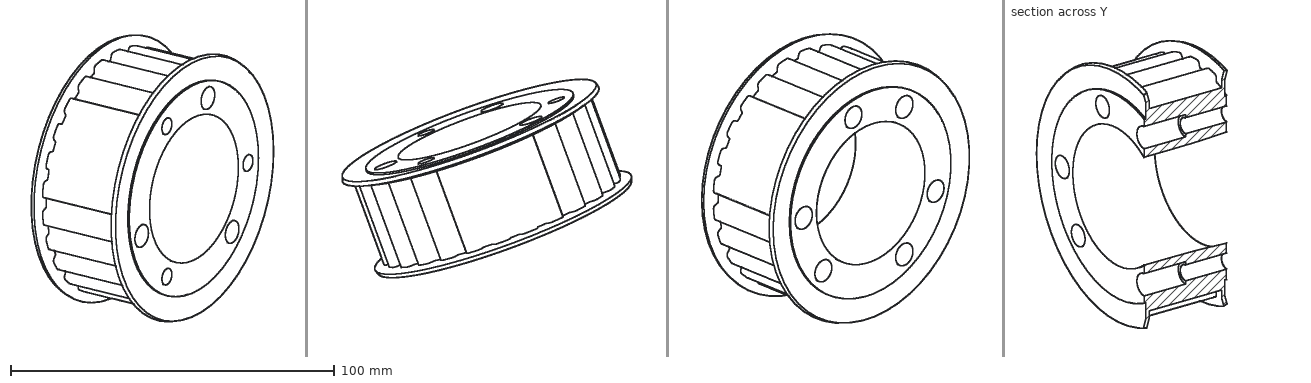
import cadquery as cq
import math

WIDTH = 32.1
FLANGE_RADIUS = 42.3

FLANGE_THICKNESS = 1.4
FLAT_FACE_RADIUS = 39.25
LIP_ANGLE = math.radians(18)

HUB_RADIUS = 34.2
HUB_STEP = 0.6
BORE_RADIUS = 23.1
BORE_STRAIGHT_END_X = 11.5
BORE_END_RADIUS = 23.5

TOOTH_COUNT = 26
TIP_RADIUS = 39.1
GROOVE_DEPTH = 2.1
GROOVE_FLOOR_WIDTH = 3.05
FLANK_ANGLE = math.radians(20)
TIP_ROUNDING = 1.2
ROOT_ROUNDING = 0.5

HOLES_PER_SET = 3
BOLT_CIRCLE_RADIUS = 28.6
PLAIN_HOLE_DIAMETER = 7.2
PLAIN_START_ANGLE = 75
STEPPED_HOLE_DIAMETER = 5.25
STEPPED_START_ANGLE = 0
COUNTERBORE_DIAMETER = 7.4
COUNTERBORE_FLOOR_X = WIDTH / 2

LIP_TIP_X = FLANGE_THICKNESS * math.cos(LIP_ANGLE)
LIP_FRONT_RADIUS = FLANGE_RADIUS - FLANGE_THICKNESS * math.sin(LIP_ANGLE)
OUTER_FACE_X = (LIP_FRONT_RADIUS - FLAT_FACE_RADIUS) * math.tan(LIP_ANGLE)
INNER_FACE_X = OUTER_FACE_X + FLANGE_THICKNESS
INNER_BEND_RADIUS = FLAT_FACE_RADIUS + FLANGE_THICKNESS * math.tan(LIP_ANGLE / 2)
HUB_END_X = OUTER_FACE_X - HUB_STEP


def revolve_about_x(points):
    """Revolve a closed (x, radius) outline around the X axis."""
    return cq.Workplane("XY").polyline(points).close().revolve(360, (0, 0, 0), (1, 0, 0))


def make_flange():
    """The dished plate at the -X end."""
    return revolve_about_x([
        (OUTER_FACE_X, 0),
        (OUTER_FACE_X, FLAT_FACE_RADIUS),
        (0, LIP_FRONT_RADIUS),
        (LIP_TIP_X, FLANGE_RADIUS),
        (INNER_FACE_X, INNER_BEND_RADIUS),
        (INNER_FACE_X, 0),
    ])


def round_edges_at(rim, radius, rounding):
    """Round the lengthwise edges that lie at the given distance from the X axis."""
    tolerance = GROOVE_DEPTH / 4
    edges = []
    for edge in rim.edges("|X").vals():
        center = edge.Center()
        if abs(math.hypot(center.y, center.z) - radius) < tolerance:
            edges.append(edge)
    return rim.newObject(edges).fillet(rounding)


def make_rim():
    """Cylinder between the flanges with trapezoid grooves, rounded at root and tip."""
    length = WIDTH - 2 * INNER_FACE_X
    plane = cq.Workplane("YZ", origin=(INNER_FACE_X, 0, 0))

    floor_radius = TIP_RADIUS - GROOVE_DEPTH
    cutter_depth = 1.4 * GROOVE_DEPTH
    half_floor = GROOVE_FLOOR_WIDTH / 2
    half_mouth = half_floor + cutter_depth * math.tan(FLANK_ANGLE)
    groove = plane.polyline([
        (floor_radius, -half_floor),
        (floor_radius + cutter_depth, -half_mouth),
        (floor_radius + cutter_depth, half_mouth),
        (floor_radius, half_floor),
    ]).close().extrude(length)

    rim = plane.circle(TIP_RADIUS).extrude(length)
    for index in range(TOOTH_COUNT):
        rim = rim.cut(groove.rotate((0, 0, 0), (1, 0, 0), index * 360 / TOOTH_COUNT))
    rim = round_edges_at(rim, floor_radius, ROOT_ROUNDING)
    return round_edges_at(rim, TIP_RADIUS, TIP_ROUNDING)


def make_hub():
    hub_length = WIDTH - 2 * HUB_END_X
    return cq.Workplane("YZ", origin=(HUB_END_X, 0, 0)).circle(HUB_RADIUS).extrude(hub_length)


def make_bore():
    """Straight from the -X end, then slightly widening towards the +X end."""
    return revolve_about_x([
        (0, 0),
        (0, BORE_RADIUS),
        (BORE_STRAIGHT_END_X, BORE_RADIUS),
        (WIDTH, BORE_END_RADIUS),
        (WIDTH, 0),
    ])


def make_bolt_holes(diameter, start_angle, end_x):
    """One set of hole cutters, running from x = 0 to end_x."""
    return (
        cq.Workplane("YZ")
        .polarArray(BOLT_CIRCLE_RADIUS, start_angle, 360, HOLES_PER_SET)
        .circle(diameter / 2)
        .extrude(end_x)
    )


near_flange = make_flange()
far_flange = near_flange.mirror("YZ").translate((WIDTH, 0, 0))

result = (
    make_rim()
    .union(near_flange)
    .union(far_flange)
    .union(make_hub())
    .cut(make_bore())
    .cut(make_bolt_holes(PLAIN_HOLE_DIAMETER, PLAIN_START_ANGLE, WIDTH))
    .cut(make_bolt_holes(STEPPED_HOLE_DIAMETER, STEPPED_START_ANGLE, WIDTH))
    .cut(make_bolt_holes(COUNTERBORE_DIAMETER, STEPPED_START_ANGLE, COUNTERBORE_FLOOR_X))
)